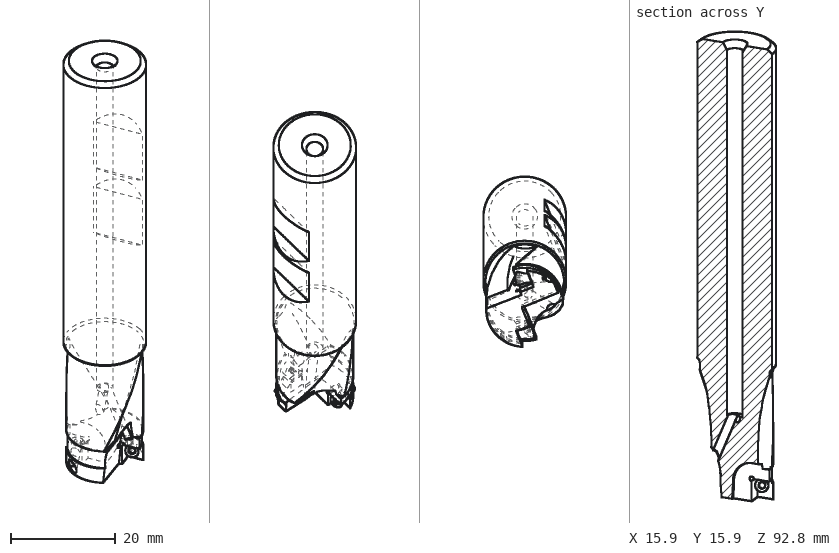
import cadquery as cq
import math

total_length = 92.81
end_face_z = 0.0

clearance = 1.0
outside = 12.0

shank_radius = 15.88 / 2
shank_bottom_z = 27.7
top_chamfer_radial = 1.05
top_chamfer_height = 0.85
shoulder_drop = 0.5
neck_radius = 7.4
neck_lead_radius = 7.5
neck_lead_height = 0.5

relief_radius = 7.15
relief_bottom_z = 3.3
relief_top_z = 7.3

flat_y = 6.05
flat_floor_length = 10.6
flat_centers_z = (68.2, 53.1)

bore_radius = 1.6
bore_bottom_z = 17.0
bore_mouth_radius = 2.45
bore_mouth_depth = 1.45
branch_radius = 0.85
branch_start_z = 18.0
branch_ends = ((4.9, 0.1, 6.2), (4.0, -5.5, 5.2))

flute_angles = (0, 180)

gullet_stations = 5
gullet_bottom_z = 7.0
gullet_top_z = 26.6
gullet_root_radius_low = 3.9
gullet_root_radius_high = 6.9
gullet_root_angle_low = -36.0
gullet_twist = 47.0
gullet_leading_length = 12.0
gullet_trailing_length = 7.0
gullet_leading_angles = (58.0, 68.0)
gullet_trailing_angle_low = 65.0
gullet_trailing_angle_high = 79.0
gullet_trailing_sag = 1.1

chip_wall_points = (
    ((2.8, 0.0), (3.1, 3.4), (4.1, 8.6), (8.0, 12.3)),
    ((-0.5, 0.0), (-0.3, 3.4), (0.9, 6.7), (3.6, 7.9)),
)
rake_y = 0.4

end_relief_start_y = 2.0
end_relief_rise = 1.0
end_relief_side_y = 7.0
end_relief_side_top_z = 3.8

seat_wall_x = 3.4
seat_floor_y = 3.1
seat_top_z = 4.6
seat_corner_radius = 0.45

screw_head_center = (5.4, 0.7, 3.5)
screw_exit = (3.9, 6.2, 1.5)
head_radius = 1.3
screw_shank_radius = 0.9
head_height = 1.5
socket_radius = 0.7
socket_depth = 0.7
socket_sides = 6
screw_length = 5.4


def gullet_section(fraction, leading_angle):
    """Closed outline of the gullet cutter at a fraction of its height."""
    z = gullet_bottom_z + fraction * (gullet_top_z - gullet_bottom_z)
    angle = gullet_root_angle_low + fraction * gullet_twist
    root_radius = gullet_root_radius_low + fraction * (gullet_root_radius_high - gullet_root_radius_low)

    def offset(start, direction, distance):
        return (
            start[0] + distance * math.cos(math.radians(direction)),
            start[1] + distance * math.sin(math.radians(direction)),
        )

    root = (root_radius * math.cos(math.radians(angle)), root_radius * math.sin(math.radians(angle)))
    trailing_spread = gullet_trailing_angle_high - gullet_trailing_angle_low
    trailing_direction = angle + gullet_trailing_angle_low + fraction * trailing_spread
    leading = offset(root, angle - leading_angle, gullet_leading_length)
    trailing = offset(root, trailing_direction, gullet_trailing_length)
    chord_middle = offset(root, trailing_direction, gullet_trailing_length / 2)
    sagged_middle = offset(chord_middle, trailing_direction + 90, gullet_trailing_sag)
    return (
        cq.Workplane("XY", origin=(0, 0, z))
        .moveTo(*leading)
        .lineTo(*root)
        .threePointArc(sagged_middle, trailing)
        .close()
        .wire()
        .val()
    )


def make_gullet(leading_angle):
    last = gullet_stations - 1
    sections = [gullet_section(station / last, leading_angle) for station in range(gullet_stations)]
    return cq.Workplane(cq.Solid.makeLoft(sections))


def make_chip_pocket(wall_points):
    """Open pocket ahead of the rake face, with a concave run-out at its top."""
    foot, arc_start, arc_middle, arc_end = wall_points
    below_end = end_face_z - clearance
    return (
        cq.Workplane("XZ", origin=(0, rake_y, 0))
        .moveTo(foot[0], below_end)
        .lineTo(*foot)
        .lineTo(*arc_start)
        .threePointArc(arc_middle, arc_end)
        .lineTo(outside, arc_end[1])
        .lineTo(outside, below_end)
        .close()
        .extrude(outside)
    )


def make_end_relief():
    """Clearance behind one of the teeth: a sloped end face and a narrow side flat."""
    return (
        cq.Workplane("YZ", origin=(-outside, 0, 0))
        .moveTo(end_relief_start_y, end_face_z)
        .lineTo(outside, end_face_z)
        .lineTo(outside, end_relief_side_top_z)
        .lineTo(end_relief_side_y, end_relief_side_top_z)
        .lineTo(end_relief_side_y, end_face_z + end_relief_rise)
        .close()
        .extrude(2 * outside)
    )


def make_seat():
    depth = seat_floor_y - rake_y + clearance
    width = outside - seat_wall_x
    height = seat_top_z - end_face_z + clearance
    seat = cq.Workplane("XY").box(width, depth, height, centered=False)
    seat = seat.translate((seat_wall_x, rake_y - clearance, end_face_z - clearance))
    corner_relief = (
        cq.Workplane("XZ", origin=(seat_wall_x, seat_floor_y, seat_top_z))
        .circle(seat_corner_radius)
        .extrude(depth)
    )
    return seat.union(corner_relief)


def screw_plane():
    """Plane at the screw head, its normal pointing down the screw axis."""
    axis = cq.Vector(*screw_exit) - cq.Vector(*screw_head_center)
    return cq.Plane(origin=screw_head_center, xDir=(0, 0, 1), normal=axis.toTuple())


def screw_profile(length):
    """Revolved screw envelope: a conical head on a cylindrical shank."""
    profile = (
        cq.Workplane("XZ")
        .polyline(
            [
                (0, 0),
                (head_radius, 0),
                (screw_shank_radius, head_height),
                (screw_shank_radius, length),
                (0, length),
            ]
        )
        .close()
        .revolve(360, (0, 0), (0, 1))
    )
    return cq.Workplane(profile.val().moved(screw_plane().location))


def make_screw():
    socket = cq.Workplane(screw_plane()).polygon(socket_sides, 2 * socket_radius).extrude(socket_depth)
    return screw_profile(screw_length).cut(socket)


def make_branch(end_point):
    """Coolant branch from the central bore to the chip pocket wall."""
    start = cq.Vector(0, 0, branch_start_z)
    path = cq.Vector(*end_point) - start
    return cq.Workplane(cq.Solid.makeCylinder(branch_radius, path.Length, start, path))


def make_flat(center_z):
    """Trapezoidal clamping flat with 45 degree ends."""
    half_floor = flat_floor_length / 2
    depth = shank_radius - flat_y + clearance
    return (
        cq.Workplane("YZ", origin=(-shank_radius, 0, 0))
        .polyline(
            [
                (flat_y, center_z - half_floor),
                (flat_y, center_z + half_floor),
                (flat_y + depth, center_z + half_floor + depth),
                (flat_y + depth, center_z - half_floor - depth),
            ]
        )
        .close()
        .extrude(2 * shank_radius)
    )


def make_blank():
    """Turned blank: shank, neck, relieved band, cutting end and stepped bore."""
    neck_top_z = shank_bottom_z - shoulder_drop
    outer = [
        (0, end_face_z),
        (neck_radius, end_face_z),
        (neck_radius, relief_bottom_z),
        (relief_radius, relief_bottom_z),
        (relief_radius, relief_top_z),
        (neck_radius, relief_top_z),
        (neck_radius, neck_top_z - neck_lead_height),
        (neck_lead_radius, neck_top_z),
        (shank_radius, shank_bottom_z),
        (shank_radius, total_length - top_chamfer_height),
        (shank_radius - top_chamfer_radial, total_length),
    ]
    bore = [
        (bore_mouth_radius, total_length),
        (bore_radius, total_length - bore_mouth_depth),
        (bore_radius, bore_bottom_z),
        (0, bore_bottom_z),
    ]
    return cq.Workplane("XZ").polyline(outer + bore).close().revolve(360, (0, 0), (0, 1))


cutter_body = make_blank()
for flat_z in flat_centers_z:
    cutter_body = cutter_body.cut(make_flat(flat_z))
cutter_body = cutter_body.cut(make_end_relief())

flutes = zip(flute_angles, gullet_leading_angles, chip_wall_points, branch_ends)
screws = []
for flute_angle, leading_angle, wall_points, branch_end in flutes:
    cutters = [
        make_gullet(leading_angle),
        make_chip_pocket(wall_points),
        make_seat(),
        make_branch(branch_end),
        screw_profile(outside),
    ]
    for cutter in cutters:
        cutter_body = cutter_body.cut(cutter.rotate((0, 0, 0), (0, 0, 1), flute_angle))
    screws.append(make_screw().rotate((0, 0, 0), (0, 0, 1), flute_angle))

result = cq.Compound.makeCompound([cutter_body.val(), *[screw.val() for screw in screws]])